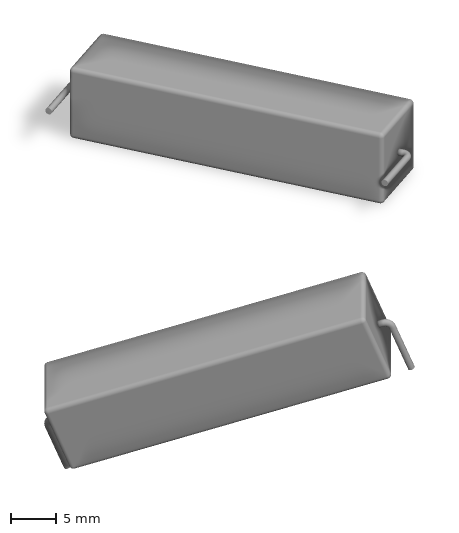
import cadquery as cq

overall_length = 41.45
overall_depth = 11.5
body_length = 38.0
body_side = 9.0
edge_radius = 0.5

lead_diameter = 0.8
lead_reach = overall_depth - body_side / 2
bend_radius = 0.83
lead_embed = 0.4

lead_radius = lead_diameter / 2
lead_x = overall_length / 2 - lead_radius
lead_start_x = body_length / 2 - lead_embed


def make_body():
    """Square bar with all edges rounded, centred on the origin."""
    return cq.Workplane("XY").box(body_length, body_side, body_side).edges().fillet(edge_radius)


def make_lead():
    """Lead leaving the +X end face and turning through a right angle toward -Y."""
    path = (
        cq.Workplane("XY")
        .moveTo(lead_start_x, 0)
        .lineTo(lead_x - bend_radius, 0)
        .radiusArc((lead_x, -bend_radius), bend_radius)
        .lineTo(lead_x, -lead_reach)
    )
    return cq.Workplane("YZ", origin=(lead_start_x, 0, 0)).circle(lead_radius).sweep(path)


right_lead = make_lead()
left_lead = right_lead.mirror("YZ")
result = make_body().union(right_lead).union(left_lead)